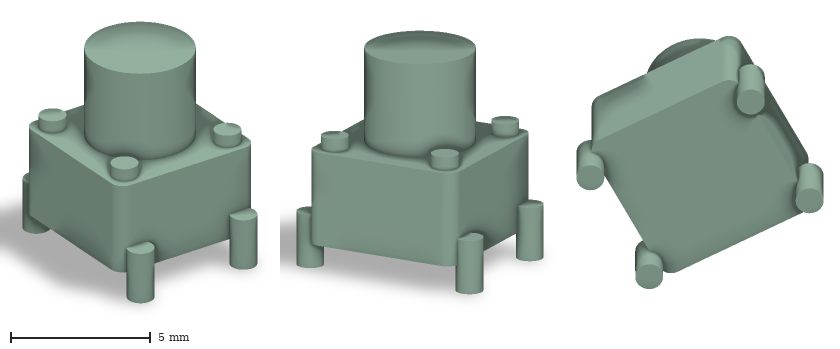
import cadquery as cq

housing_side = 6.0
pin_diameter = 1.0
housing_corner_radius = pin_diameter / 2
housing_bottom = 1.0
total_height = 8.0

button_diameter = 4.0
button_height = 3.5
housing_top = total_height - button_height

stud_diameter = 1.0
stud_height = 0.5
stud_spacing = 4.5

pin_length = 2.0
pin_overall_span = 7.5
pin_spacing_x = pin_overall_span - pin_diameter
pin_spacing_y = stud_spacing


def make_housing():
    return (
        cq.Workplane("XY")
        .workplane(offset=housing_bottom)
        .rect(housing_side, housing_side)
        .extrude(housing_top - housing_bottom)
        .edges("|Z")
        .fillet(housing_corner_radius)
    )


def make_button():
    return (
        cq.Workplane("XY")
        .workplane(offset=housing_top)
        .circle(button_diameter / 2)
        .extrude(button_height)
    )


def make_four_posts(spacing_x, spacing_y, diameter, bottom, height):
    """Four upright cylinders centred on the corners of a rectangle."""
    return (
        cq.Workplane("XY")
        .workplane(offset=bottom)
        .rect(spacing_x, spacing_y, forConstruction=True)
        .vertices()
        .circle(diameter / 2)
        .extrude(height)
    )


studs = make_four_posts(stud_spacing, stud_spacing, stud_diameter, housing_top, stud_height)
pins = make_four_posts(pin_spacing_x, pin_spacing_y, pin_diameter, 0, pin_length)

result = make_housing().union(make_button()).union(studs).union(pins)